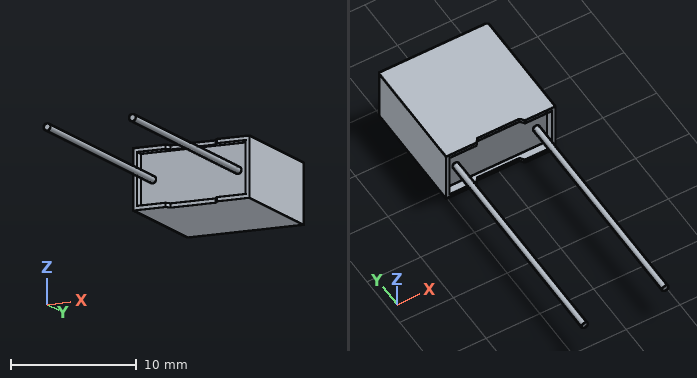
import cadquery as cq


case_width = 10.2
case_length = 10.6
case_thickness = 5.11
wall = 0.35
back_edge_radius = 0.5

notch_mouth_width = 4.5
notch_depth = 0.37
notch_floor_width = 3.95

resin_recess = 0.75
resin_width = case_width - 2 * wall
resin_thickness = case_thickness - 2 * wall
resin_length = case_length - wall - resin_recess

lead_diameter = 0.6
lead_pitch = 7.5
lead_reach = 19.0


def make_block(width, length, thickness, front_y):
    """Box centred on X and Z that runs from front_y toward +Y."""
    return cq.Workplane("XY").box(width, length, thickness, centered=(True, False, True)).translate((0, front_y, 0))


def make_notch_cutter():
    """Trapezoid that narrows away from the rim, running through both wide walls."""
    return (
        cq.Workplane("XY")
        .moveTo(-notch_mouth_width / 2, 0)
        .lineTo(notch_mouth_width / 2, 0)
        .lineTo(notch_floor_width / 2, notch_depth)
        .lineTo(-notch_floor_width / 2, notch_depth)
        .close()
        .extrude(case_thickness / 2, both=True)
    )


def make_case():
    """Hollow box with a rounded back and notches in its rim."""
    outside = make_block(case_width, case_length, case_thickness, 0)
    outside = outside.faces(">Y").edges().fillet(back_edge_radius)
    cavity = make_block(resin_width, case_length - wall, resin_thickness, 0)
    return outside.cut(cavity).cut(make_notch_cutter())


def make_resin():
    """Block that fills the cavity up to a face set back from the rim."""
    return make_block(resin_width, resin_length, resin_thickness, resin_recess)


def make_lead(x):
    """Round wire that starts on the resin face and runs toward -Y."""
    return (
        cq.Workplane("XZ", origin=(x, resin_recess, 0))
        .circle(lead_diameter / 2)
        .extrude(resin_recess + lead_reach)
    )


case = make_case()
resin = make_resin()
leads = [make_lead(side * lead_pitch / 2) for side in (-1, 1)]

result = cq.Compound.makeCompound([case.val(), resin.val(), *[lead.val() for lead in leads]])